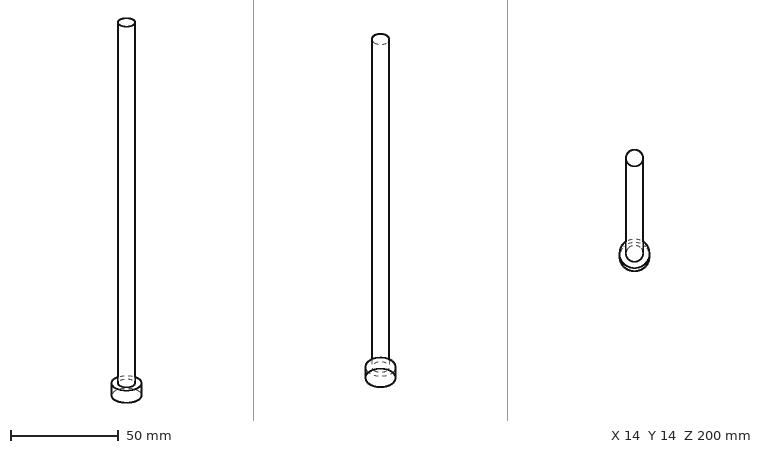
import cadquery as cq

total_length = 200.0
head_diameter = 14.0
head_height = 6.5
shank_diameter = 8.0

head = cq.Workplane("XY").circle(head_diameter / 2).extrude(head_height)

shank = cq.Workplane("XY").circle(shank_diameter / 2).extrude(total_length)

result = head.union(shank)